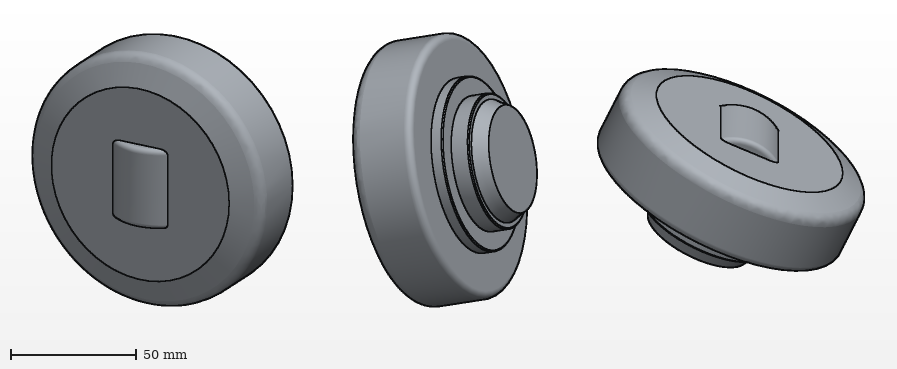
import cadquery as cq
import math

wheel_radius = 53.8
wheel_width = 30.8
front_face_radius = 41.0
bevel_angle = 20.0
front_edge_fillet = 5.0
rear_edge_fillet = 3.0

flange_radius = 71.0 / 2
flange_width = 5.1
boss_radius = 55.0 / 2
boss_width = 7.8
step_chamfer = 0.5
cone_base_radius = 25.0
cone_end_radius = 21.9
cone_length = 6.1

roller_radius = 42.0 / 2
roller_length = 34.1
roller_fillet = 2.0
roller_protrusion = 4.2

bevel_depth = (wheel_radius - front_face_radius) * math.tan(math.radians(bevel_angle))
boss_start = wheel_width + flange_width
cone_start = boss_start + boss_width
roller_axis_y = roller_radius - roller_protrusion


def disc(radius, start, width):
    """Cylinder about the Y axis, from start toward +Y."""
    return cq.Workplane("XZ", origin=(0, start, 0)).circle(radius).extrude(-width)


def make_wheel():
    """Disc with a bevelled, rounded front rim and a rounded rear rim."""
    profile = [
        (0, 0),
        (front_face_radius, 0),
        (wheel_radius, bevel_depth),
        (wheel_radius, wheel_width),
        (0, wheel_width),
    ]
    wheel = cq.Workplane("XY").polyline(profile).close().revolve(360, (0, 0, 0), (0, 1, 0))
    wheel = wheel.faces(">Y").edges().fillet(rear_edge_fillet)
    rim = cq.selectors.BoxSelector(
        (-wheel_radius - 1.1, bevel_depth - 0.1, -wheel_radius - 1.1),
        (wheel_radius + 1.1, bevel_depth + 0.1, wheel_radius + 1.1),
        boundingbox=True,
    )
    return wheel.edges(rim).fillet(front_edge_fillet)


def make_hub():
    """Flange, boss and tapered end, stacked behind the wheel."""
    flange = disc(flange_radius, wheel_width, flange_width).faces(">Y").chamfer(step_chamfer)
    boss = disc(boss_radius, boss_start, boss_width).faces(">Y").chamfer(step_chamfer)
    cone = cq.Workplane(
        cq.Solid.makeCone(
            cone_base_radius,
            cone_end_radius,
            cone_length,
            pnt=cq.Vector(0, cone_start, 0),
            dir=cq.Vector(0, 1, 0),
        )
    )
    return flange.union(boss).union(cone)


def make_roller():
    """Cylinder with rounded ends, centred on Z = 0."""
    roller = cq.Workplane("XY", origin=(0, roller_axis_y, -roller_length / 2))
    roller = roller.circle(roller_radius).extrude(roller_length)
    return roller.faces("<Z or >Z").edges().fillet(roller_fillet)


side_roller = make_roller()

housing = make_wheel().union(make_hub()).cut(side_roller)

result = cq.Compound.makeCompound([housing.val(), side_roller.val()])